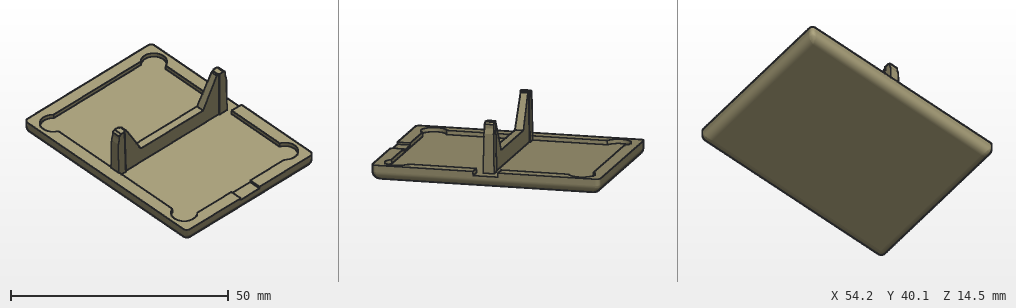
import cadquery as cq
import math

LENGTH = 54.2
WIDTH = 40.1
PLATE_HEIGHT = 3.6
TOTAL_HEIGHT = 14.5
CORNER_RADIUS = 1.05
BOTTOM_RADIUS = 2.0

POCKET_DEPTH = 1.0
POCKET_DRAFT = 5.0
POCKET_LENGTH = 48.0
POCKET_WIDTH = 33.95
RELIEF_RADIUS = 3.05
RELIEF_X = 21.9
RELIEF_Y = 15.95
NOTCH_WIDTH = 5.95
SIDE_NOTCH_DEPTH = 0.5
FLOOR = PLATE_HEIGHT - POCKET_DEPTH

DRAFT = 1.0
WEB_HALF_THICKNESS = 1.1
WEB_HEIGHT = 2.9
WEB_TOP_HALF_LENGTH = 9.8
POST_HALF_THICKNESS = 1.3
POST_OUTER_Y = 17.15
POST_SHOULDER_Y = 17.1
POST_INNER_Y = 14.75
TIP_OUTER_Y = 16.75
TIP_STEP_DROP = 1.4
TIP_TAPER_DROP = 2.6
TIP_CHAMFER_RUN = 0.6
TIP_CHAMFER_DROP = 0.45
TIP_INNER_Y = 14.65
TIP_INNER_RUN = 0.4
TIP_INNER_DROP = 0.2


def make_plate():
    """Plate with rounded plan corners and a large round along the lower edge."""
    plate = cq.Workplane("XY").rect(LENGTH, WIDTH).extrude(PLATE_HEIGHT)
    plate = plate.edges("|Z").fillet(CORNER_RADIUS)
    return plate.faces("<Z").edges().fillet(BOTTOM_RADIUS)


def make_recess():
    """Pocket with round corner reliefs and a notch in the +Y and +X rims."""
    rim = cq.Workplane("XY").workplane(offset=PLATE_HEIGHT)
    recess = rim.rect(POCKET_LENGTH, POCKET_WIDTH).extrude(-POCKET_DEPTH, taper=POCKET_DRAFT)
    for x in (-RELIEF_X, RELIEF_X):
        for y in (-RELIEF_Y, RELIEF_Y):
            relief = rim.center(x, y).circle(RELIEF_RADIUS)
            recess = recess.union(relief.extrude(-POCKET_DEPTH, taper=POCKET_DRAFT))
    back_notch = rim.center(0, WIDTH / 2).rect(NOTCH_WIDTH, WIDTH / 2)
    recess = recess.union(back_notch.extrude(-POCKET_DEPTH, taper=POCKET_DRAFT))
    side_notch = rim.center(LENGTH / 2, 0).rect(LENGTH / 2, NOTCH_WIDTH)
    return recess.union(side_notch.extrude(-SIDE_NOTCH_DEPTH, taper=POCKET_DRAFT))


def drafted_block(half_thickness, y_start, y_end, height):
    """Block standing on the pocket floor, narrowing upward on all sides."""
    return (
        cq.Workplane("XY").workplane(offset=FLOOR)
        .center(0, (y_start + y_end) / 2)
        .rect(2 * half_thickness, y_end - y_start)
        .extrude(height, taper=DRAFT)
    )


def make_upright():
    """U-shaped web and its posts, trimmed to the side outline."""
    height = TOTAL_HEIGHT - FLOOR
    spare = math.tan(math.radians(DRAFT)) * height
    reach = POST_OUTER_Y + spare
    blocks = drafted_block(WEB_HALF_THICKNESS, -reach, reach, height)
    blocks = blocks.union(drafted_block(POST_HALF_THICKNESS, POST_INNER_Y, reach, height))
    blocks = blocks.union(drafted_block(POST_HALF_THICKNESS, -reach, -POST_INNER_Y, height))

    half_outline = [
        (POST_OUTER_Y, FLOOR),
        (POST_SHOULDER_Y, TOTAL_HEIGHT - TIP_TAPER_DROP),
        (TIP_OUTER_Y, TOTAL_HEIGHT - TIP_STEP_DROP),
        (TIP_OUTER_Y, TOTAL_HEIGHT - TIP_CHAMFER_DROP),
        (TIP_OUTER_Y - TIP_CHAMFER_RUN, TOTAL_HEIGHT),
        (TIP_INNER_Y, TOTAL_HEIGHT),
        (TIP_INNER_Y - TIP_INNER_RUN, TOTAL_HEIGHT - TIP_INNER_DROP),
        (WEB_TOP_HALF_LENGTH, PLATE_HEIGHT + WEB_HEIGHT),
    ]
    mirrored = [(-y, z) for y, z in reversed(half_outline)]
    outline = (
        cq.Workplane("YZ").polyline(half_outline + mirrored).close()
        .extrude(POST_HALF_THICKNESS, both=True)
    )
    return blocks.intersect(outline)


result = make_plate().cut(make_recess()).union(make_upright())